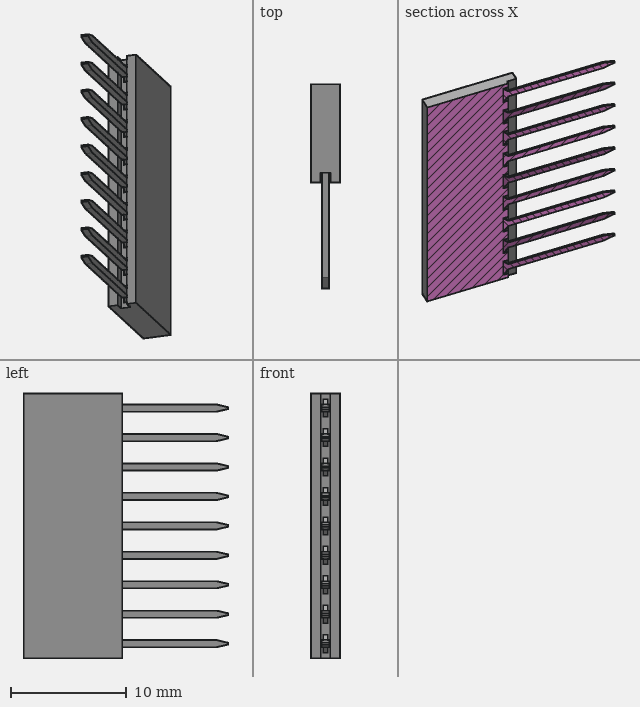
import cadquery as cq

CONTACT_COUNT = 9
HOUSING_HEIGHT = 22.85
HOUSING_WIDTH = 2.54
HOUSING_DEPTH = 8.5
PITCH = HOUSING_HEIGHT / CONTACT_COUNT

SLOT_WIDTH = 0.85
SLOT_DEPTH = 0.85

PIN_REACH = 9.15
PIN_SIDE = 0.65
TIP_LENGTH = 1.0
TIP_HEIGHT = 0.15

ROOT_WIDTH = 0.4
ROOT_HEIGHT = 1.53
ROOT_DEPTH = (ROOT_HEIGHT - PIN_SIDE) / 2

SLOT_FLOOR_Y = SLOT_DEPTH
POCKET_FLOOR_Y = SLOT_FLOOR_Y + ROOT_DEPTH
TIP_Y = -PIN_REACH
TAPER_START_Y = TIP_Y + TIP_LENGTH


def contact_positions():
    """Z of every contact, evenly spaced about the middle of the housing."""
    middle_index = (CONTACT_COUNT - 1) / 2
    return [(index - middle_index) * PITCH for index in range(CONTACT_COUNT)]


def make_front_box(width, depth, height):
    """Box centred on X and Z that reaches from Y = 0 back to its depth."""
    return cq.Workplane("XY").box(width, depth, height, centered=(True, False, True))


def make_housing():
    """Block with a full-height front slot and one root pocket per contact."""
    block = make_front_box(HOUSING_WIDTH, HOUSING_DEPTH, HOUSING_HEIGHT)
    slot = make_front_box(SLOT_WIDTH, SLOT_DEPTH, HOUSING_HEIGHT)
    body = block.cut(slot)
    pocket = make_front_box(ROOT_WIDTH, POCKET_FLOOR_Y, ROOT_HEIGHT)
    for center_z in contact_positions():
        body = body.cut(pocket.translate((0, 0, center_z)))
    return body


def extrude_side_profile(points, width):
    """Extrude a closed (Y, Z) outline along X, centred on X = 0."""
    return cq.Workplane("YZ").polyline(points).close().extrude(width / 2, both=True)


def make_contact(center_z):
    """One contact: a pin standing on the slot floor and its root in the pocket."""
    half_side = PIN_SIDE / 2
    half_tip = TIP_HEIGHT / 2
    half_root = ROOT_HEIGHT / 2
    pin = extrude_side_profile(
        [
            (SLOT_FLOOR_Y, -half_side),
            (TAPER_START_Y, -half_side),
            (TIP_Y, -half_tip),
            (TIP_Y, half_tip),
            (TAPER_START_Y, half_side),
            (SLOT_FLOOR_Y, half_side),
        ],
        PIN_SIDE,
    )
    root = extrude_side_profile(
        [
            (SLOT_FLOOR_Y, -half_side),
            (SLOT_FLOOR_Y, half_side),
            (POCKET_FLOOR_Y, half_root),
            (POCKET_FLOOR_Y, -half_root),
        ],
        ROOT_WIDTH,
    )
    return pin.union(root).translate((0, 0, center_z))


housing = make_housing()
contacts = [make_contact(center_z) for center_z in contact_positions()]

result = cq.Compound.makeCompound([housing.val()] + [contact.val() for contact in contacts])